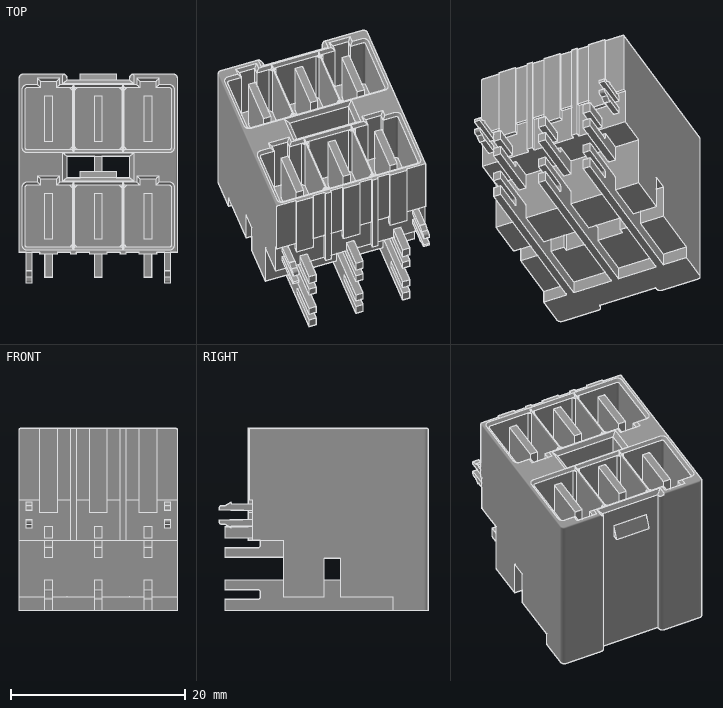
import cadquery as cq


BODY_WIDTH = 18.2
HEIGHT = 20.95
BODY_DEPTH = 20.5
REAR_CORNER_RADIUS = 0.5
TOP_EDGE_RADIUS = 0.2
PANEL_SETBACK = 0.3
PANEL_TOP = 12.7
PANEL_BOTTOM = 8.07
LOWER_FRONT_Y = -16.65
FOOT_FRONT_Y = -4.03
FOOT_HEIGHT = 1.6
TUNNEL_TOP = 6.0
TUNNEL_FRONT_Y = -11.95
TUNNEL_REAR_Y = -10.09

RIB_HEIGHT = 0.2
WIDE_RIB_WIDTH = 2.06
WIDE_RIB_BOTTOM = 11.3
NARROW_RIB_WIDTH = 0.7

PITCH = 5.7
ROW_PITCH = 11.2
ROW_OFFSETS = (0, -ROW_PITCH)
COLUMNS = (-PITCH, 0, PITCH)
CAVITY_WIDTH = 16.8
CAVITY_REAR_Y = -1.57
CAVITY_FRONT_Y = -8.69
CAVITY_FLOOR = PANEL_TOP
CAVITY_CORNER_RADIUS = 0.25
KEY_WIDTH = 1.85
KEY_REAR_Y = -0.85
LEAD_IN = 0.35
LEAD_IN_TAPER = -45
PARTITION_WIDTH = 0.26
PARTITION_CREST_WIDTH = 0.08
PARTITION_DROP = 0.1
PARTITION_CREST_HEIGHT = 0.3
PARTITION_TOP = HEIGHT - PARTITION_DROP
PARTITION_SHOULDER = PARTITION_TOP - PARTITION_CREST_HEIGHT
CELL_CORNER_BEVEL = 0.3

WINDOW_WIDTH = 7.16
WINDOW_FRONT_Y = -0.7
WINDOW_LENGTH = 2.42
MOUTH_SIDE_CHAMFER = 0.5
MOUTH_END_CHAMFER = 0.41
MOUTH_DEPTH = 0.5
WINDOW_EDGE_RADIUS = 0.5
LATCH_WIDTH = 4.2
LATCH_DEPTH = 0.7
LATCH_TOP = 18.0
LATCH_BOTTOM = 16.4

CONTACT_THICKNESS = 0.9
BLADE_REAR_Y = -2.55
BLADE_LENGTH = 5.2
SIDE_BLADE_TOP = 20.3
MIDDLE_BLADE_TOP = 20.8
BLADE_TOPS = (SIDE_BLADE_TOP, MIDDLE_BLADE_TOP, SIDE_BLADE_TOP)
TAIL_TIP_Y = -23.35
TAIL_HEIGHT = 3.53
TAIL_BOTTOMS = (0, 6.12)
SLOT_END_Y = -19.3
SLOT_BOTTOMS = (1.32, 7.25)
SLOT_HEIGHT = 1.08
SLOT_CORNER_RADIUS = 0.25

CLIP_OFFSET = 7.95
CLIP_THICKNESS = 0.7
CLIP_MIDDLE_Z = 10.99
CLIP_ROOT_Y = -19.9
CLIP_TIP_Y = -24.01
BARB_FOOT_Y = -22.57
BARB_PEAK_Y = -22.65
BARB_END_Y = -23.33
PRONG_INNER_ROOT = 0.49
PRONG_INNER_TIP = 0.57
PRONG_OUTER = 1.28
PRONG_BARB = 1.48
PRONG_OUTER_TIP = 1.08
PRONG_TIP_RADIUS = 0.28


def block(x_center, width, y_front, y_rear, z_bottom, z_top):
    """Rectangular block, centred on x_center."""
    return (
        cq.Workplane("XY", origin=(x_center, (y_front + y_rear) / 2, z_bottom))
        .box(width, y_rear - y_front, z_top - z_bottom, centered=(True, True, False))
    )


def side_plate(x_center, thickness, outline):
    """Plate of the given (y, z) outline, centred on x_center."""
    plane = cq.Workplane("YZ", origin=(x_center, 0, 0))
    return plane.polyline(outline).close().extrude(thickness / 2, both=True)


def housing_shell():
    """Solid housing with its stepped underside, before any cavity is cut."""
    panel_y = -BODY_DEPTH + PANEL_SETBACK
    outline = [
        (0, 0),
        (0, HEIGHT),
        (-BODY_DEPTH, HEIGHT),
        (-BODY_DEPTH, PANEL_TOP),
        (panel_y, PANEL_TOP),
        (panel_y, PANEL_BOTTOM),
        (LOWER_FRONT_Y, PANEL_BOTTOM),
        (LOWER_FRONT_Y, FOOT_HEIGHT),
        (TUNNEL_FRONT_Y, FOOT_HEIGHT),
        (TUNNEL_FRONT_Y, TUNNEL_TOP),
        (TUNNEL_REAR_Y, TUNNEL_TOP),
        (TUNNEL_REAR_Y, FOOT_HEIGHT),
        (FOOT_FRONT_Y, FOOT_HEIGHT),
        (FOOT_FRONT_Y, 0),
    ]
    shell = side_plate(0, BODY_WIDTH, outline)
    shell = shell.edges("|Z and >Y").fillet(REAR_CORNER_RADIUS)
    return shell.faces(">Z").edges("not <Y").fillet(TOP_EDGE_RADIUS)


def front_ribs():
    """Wide ribs in line with the columns and narrow ribs between them."""
    y_front = -BODY_DEPTH - RIB_HEIGHT
    y_root = -BODY_DEPTH + PANEL_SETBACK
    ribs = cq.Workplane("XY")
    for x in COLUMNS:
        ribs = ribs.union(block(x, WIDE_RIB_WIDTH, y_front, y_root, WIDE_RIB_BOTTOM, HEIGHT))
    for x in (-PITCH / 2, PITCH / 2):
        ribs = ribs.union(block(x, NARROW_RIB_WIDTH, y_front, y_root, PANEL_BOTTOM, HEIGHT))
    return ribs


def cavity_row():
    """Space of the rear row: one opening with two keyways and a funnel, less the partitions."""
    opening = block(0, CAVITY_WIDTH, CAVITY_FRONT_Y, CAVITY_REAR_Y, CAVITY_FLOOR, HEIGHT)
    opening = opening.edges("|Z").fillet(CAVITY_CORNER_RADIUS)
    for x in (-PITCH, PITCH):
        opening = opening.union(
            block(x, KEY_WIDTH, CAVITY_FRONT_Y, KEY_REAR_Y, CAVITY_FLOOR, HEIGHT)
        )
    opening = opening.union(row_funnel())
    for x in (-PITCH / 2, PITCH / 2):
        opening = opening.cut(partition(x))
    return opening


def row_funnel():
    """45 degree lead-in around the rim of the row opening and its keyways."""
    funnel_base = cq.Workplane("XY", origin=(0, 0, HEIGHT - LEAD_IN))
    middle_y = (CAVITY_REAR_Y + CAVITY_FRONT_Y) / 2
    rim = cq.Sketch().rect(CAVITY_WIDTH, CAVITY_REAR_Y - CAVITY_FRONT_Y)
    rim = rim.vertices().fillet(CAVITY_CORNER_RADIUS)
    funnel = funnel_base.center(0, middle_y).placeSketch(rim).extrude(LEAD_IN, taper=LEAD_IN_TAPER)
    key_length = KEY_REAR_Y - middle_y
    for x in (-PITCH, PITCH):
        key = (
            funnel_base.center(x, middle_y + key_length / 2)
            .rect(KEY_WIDTH, key_length)
            .workplane(offset=LEAD_IN)
            .rect(KEY_WIDTH + 2 * LEAD_IN, key_length + 2 * LEAD_IN)
            .loft(ruled=True)
        )
        funnel = funnel.union(key)
    return funnel


def partition(x_center):
    """Thin wall between two cells, with a narrow crest and bevels where it meets the row walls."""
    wall_outline = [
        (x_center - PARTITION_WIDTH / 2, CAVITY_FLOOR),
        (x_center - PARTITION_WIDTH / 2, PARTITION_SHOULDER),
        (x_center - PARTITION_CREST_WIDTH / 2, PARTITION_TOP),
        (x_center + PARTITION_CREST_WIDTH / 2, PARTITION_TOP),
        (x_center + PARTITION_WIDTH / 2, PARTITION_SHOULDER),
        (x_center + PARTITION_WIDTH / 2, CAVITY_FLOOR),
    ]
    y_rear = CAVITY_REAR_Y + LEAD_IN
    y_front = CAVITY_FRONT_Y - LEAD_IN
    wall = (
        cq.Workplane("XZ", origin=(0, y_rear, 0))
        .polyline(wall_outline)
        .close()
        .extrude(y_rear - y_front)
    )
    half_base = PARTITION_WIDTH / 2 + CELL_CORNER_BEVEL
    for wall_y, inward in ((CAVITY_REAR_Y, -1), (CAVITY_FRONT_Y, 1)):
        bevel = (
            cq.Workplane("XY", origin=(x_center, wall_y, CAVITY_FLOOR))
            .polyline([(-half_base, 0), (half_base, 0), (0, inward * half_base)])
            .close()
            .extrude(HEIGHT - LEAD_IN - CAVITY_FLOOR)
        )
        wall = wall.union(bevel)
    return wall


def window(y_front):
    """Vertical latch window with a chamfered mouth."""
    y_rear = y_front + WINDOW_LENGTH
    shaft = block(0, WINDOW_WIDTH, y_front, y_rear, 0, HEIGHT)
    mouth = (
        cq.Workplane("XY", origin=(0, (y_front + y_rear) / 2, HEIGHT))
        .rect(WINDOW_WIDTH + 2 * MOUTH_SIDE_CHAMFER, WINDOW_LENGTH + 2 * MOUTH_END_CHAMFER)
        .workplane(offset=-MOUTH_DEPTH)
        .rect(WINDOW_WIDTH, WINDOW_LENGTH)
        .loft(ruled=True)
    )
    return shaft.union(mouth)


def latch(y_wall):
    """Wedge on the front wall of a window, sloping outward from its top."""
    outline = [
        (y_wall - LATCH_DEPTH / 2, LATCH_TOP),
        (y_wall, LATCH_TOP),
        (y_wall + LATCH_DEPTH, LATCH_BOTTOM),
        (y_wall - LATCH_DEPTH / 2, LATCH_BOTTOM),
    ]
    return side_plate(0, LATCH_WIDTH, outline)


def window_edge_round(side):
    """Corner material outside the round between the rear face and the rear window."""
    r = WINDOW_EDGE_RADIUS
    x = side * WINDOW_WIDTH / 2
    corner = block(x + side * r / 2, r, -r, 0, 0, HEIGHT)
    rounding = cq.Workplane("XY", origin=(x + side * r, -r, 0)).circle(r).extrude(HEIGHT)
    return corner.cut(rounding)


def contact(x_center, blade_top, blade_rear_y, tail_bottom, slot_bottom):
    """L-shaped contact: an upright blade and a tail forked by a slot."""
    tail_top = tail_bottom + TAIL_HEIGHT
    blade_front_y = blade_rear_y - BLADE_LENGTH
    blade = block(x_center, CONTACT_THICKNESS, blade_front_y, blade_rear_y, tail_bottom, blade_top)
    tail = block(x_center, CONTACT_THICKNESS, TAIL_TIP_Y, blade_rear_y, tail_bottom, tail_top)
    slot_top = slot_bottom + SLOT_HEIGHT
    slot = block(x_center, CONTACT_THICKNESS, TAIL_TIP_Y, SLOT_END_Y, slot_bottom, slot_top)
    slot = slot.edges("|X and >Y").fillet(SLOT_CORNER_RADIUS)
    return blade.union(tail).cut(slot)


def clip_prongs(x_center):
    """Pair of barbed prongs that snap into the circuit board."""
    prongs = cq.Workplane("XY")
    for side in (-1, 1):
        prong_profile = [
            (CLIP_ROOT_Y, PRONG_INNER_ROOT),
            (CLIP_ROOT_Y, PRONG_OUTER),
            (BARB_FOOT_Y, PRONG_OUTER),
            (BARB_PEAK_Y, PRONG_BARB),
            (BARB_END_Y, PRONG_OUTER_TIP),
            (CLIP_TIP_Y, PRONG_OUTER_TIP),
            (CLIP_TIP_Y, PRONG_INNER_TIP),
        ]
        outline = [(y, CLIP_MIDDLE_Z + side * distance) for y, distance in prong_profile]
        prong = side_plate(x_center, CLIP_THICKNESS, outline)
        outer_tip_edge = cq.selectors.NearestToPointSelector(
            (x_center, CLIP_TIP_Y, CLIP_MIDDLE_Z + side * PRONG_OUTER_TIP)
        )
        prongs = prongs.union(prong.edges(outer_tip_edge).fillet(PRONG_TIP_RADIUS))
    return prongs


def connector():
    """Housing with its cavities and latches, contacts and board clips."""
    part = housing_shell().union(front_ribs())
    row_space = cavity_row()
    for side in (-1, 1):
        part = part.cut(window_edge_round(side))
    for offset in ROW_OFFSETS:
        part = part.cut(row_space.translate((0, offset, 0)))
        part = part.cut(window(WINDOW_FRONT_Y + offset))
        part = part.union(latch(WINDOW_FRONT_Y + offset))
    for offset, tail_bottom, slot_bottom in zip(ROW_OFFSETS, TAIL_BOTTOMS, SLOT_BOTTOMS):
        for x, blade_top in zip(COLUMNS, BLADE_TOPS):
            blade_rear_y = BLADE_REAR_Y + offset
            part = part.union(contact(x, blade_top, blade_rear_y, tail_bottom, slot_bottom))
    for x in (-CLIP_OFFSET, CLIP_OFFSET):
        part = part.union(clip_prongs(x))
    return part


result = connector()